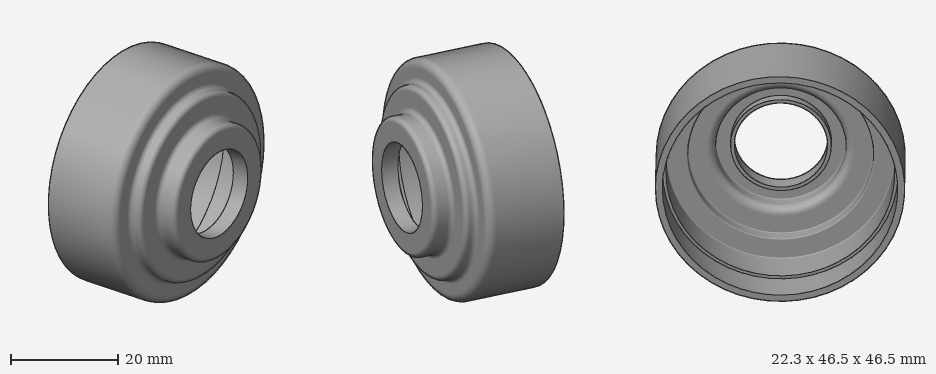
import cadquery as cq

rim_radius = 23.25
shoulder_radius = 18.6
hub_radius = 13.45
rim_face_x = 15.75
shoulder_face_x = 18.25
length = 22.3

mouth_radius = 21.95
mouth_depth = 7.0
main_bore_radius = 21.35
main_bore_depth = 14.5
shoulder_bore_radius = 17.35
shoulder_bore_depth = 17.0
hub_bore_radius = 12.2
hub_bore_depth = 20.85

collar_radius = 9.4
collar_start_x = 18.93
hole_radius = 8.7

rim_fillet = 1.65
step_fillet = 0.98
hub_entry_fillet = 1.6
floor_fillet = 0.2


def stepped_solid(steps):
    """Revolve a stack of (radius, end X) cylinders about X, starting at X = 0."""
    profile = cq.Workplane("XY")
    start_x = 0.0
    profile = profile.moveTo(start_x, 0)
    for radius, end_x in steps:
        profile = profile.lineTo(start_x, radius).lineTo(end_x, radius)
        start_x = end_x
    return profile.lineTo(start_x, 0).close().revolve(360, (0, 0, 0), (1, 0, 0))


def fillet_circle(solid, x, radius, fillet_radius):
    """Round the circular edge of the given radius lying in the plane at x."""
    tolerance = 0.005
    reach = radius + tolerance
    inner_reach = radius - tolerance
    edges = [
        edge
        for edge in solid.edges("%CIRCLE").vals()
        if abs(edge.Center().x - x) < tolerance and inner_reach < edge.radius() < reach
    ]
    return solid.newObject(edges).fillet(fillet_radius)


outside = stepped_solid([
    (rim_radius, rim_face_x),
    (shoulder_radius, shoulder_face_x),
    (hub_radius, length),
])
outside = fillet_circle(outside, rim_face_x, rim_radius, rim_fillet)
for x, radius in [
    (rim_face_x, shoulder_radius),
    (shoulder_face_x, shoulder_radius),
    (shoulder_face_x, hub_radius),
    (length, hub_radius),
]:
    outside = fillet_circle(outside, x, radius, step_fillet)

cavity = stepped_solid([
    (mouth_radius, mouth_depth),
    (main_bore_radius, main_bore_depth),
    (shoulder_bore_radius, shoulder_bore_depth),
    (hub_bore_radius, hub_bore_depth),
])
cavity = fillet_circle(cavity, shoulder_bore_depth, hub_bore_radius, hub_entry_fillet)
for x, radius in [
    (main_bore_depth, main_bore_radius),
    (main_bore_depth, shoulder_bore_radius),
    (shoulder_bore_depth, shoulder_bore_radius),
    (hub_bore_depth, hub_bore_radius),
]:
    cavity = fillet_circle(cavity, x, radius, floor_fillet)

collar = (
    cq.Workplane("YZ", origin=(collar_start_x, 0, 0))
    .circle(collar_radius)
    .extrude(hub_bore_depth - collar_start_x)
)
hole = cq.Workplane("YZ").circle(hole_radius).extrude(length)

result = outside.cut(cavity.cut(collar)).cut(hole)